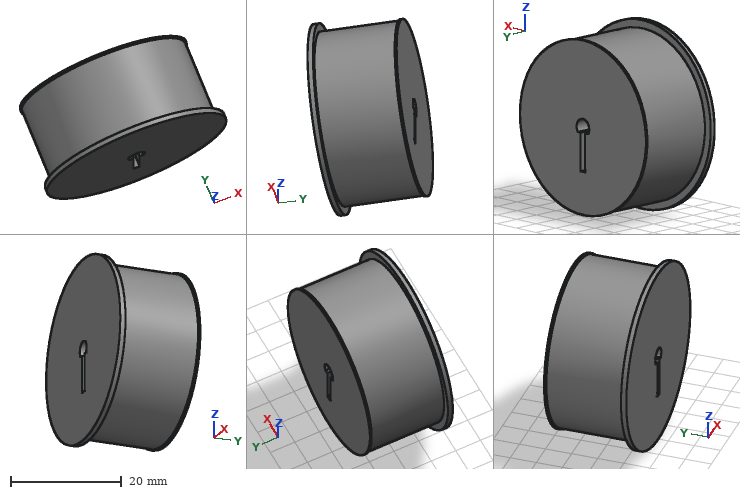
import cadquery as cq

total_depth = 16.2
flange_diameter = 35.0
flange_thickness = 1.0
body_diameter = 32.0
lip_diameter = 32.4
lip_thickness = 0.4

keyhole_diameter = 3.22
keyhole_flat_drop = 0.98
slot_width = 1.2
slot_drop = 8.15


def disc(diameter, start, thickness):
    """Cylinder along +Y, beginning at Y = start."""
    plane = cq.Workplane("XZ", origin=(0, start, 0))
    return plane.circle(diameter / 2).extrude(-thickness)


def hanging_block(width, top, bottom):
    """Full-depth rectangular prism between two heights, centred on X."""
    plane = cq.Workplane("XZ")
    return plane.center(0, (top + bottom) / 2).rect(width, top - bottom).extrude(-total_depth)


def keyhole():
    """Round opening with a flat underside, plus the narrow slot below it."""
    radius = keyhole_diameter / 2
    above_flat = hanging_block(keyhole_diameter, radius, -keyhole_flat_drop)
    opening = disc(keyhole_diameter, 0, total_depth).intersect(above_flat)
    slot = hanging_block(slot_width, 0, -slot_drop)
    return opening.union(slot)


flange = disc(flange_diameter, 0, flange_thickness)
body = disc(body_diameter, 0, total_depth)
rear_lip = disc(lip_diameter, total_depth - lip_thickness, lip_thickness)

result = flange.union(body).union(rear_lip).cut(keyhole())